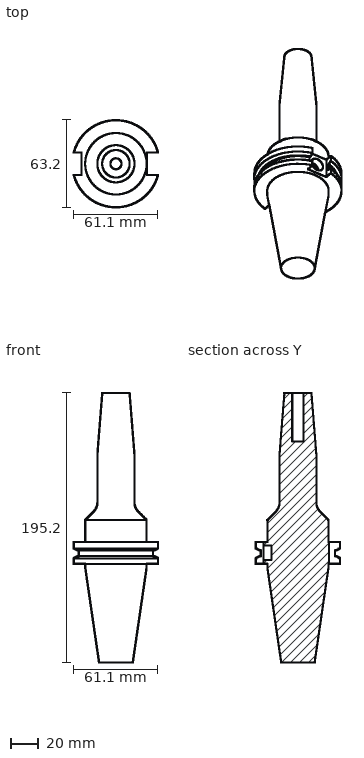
import cadquery as cq
import math

gauge_z = 68.5
flange_bottom = 71.5
flange_height = 16.0
flange_top = flange_bottom + flange_height
shoulder_z = 103.3
nose_start = 151.1
total_height = 195.2

body_radius = 22.3
neck_radius = 13.5
nose_radius = 10.0
flange_radius = 31.6

shank_taper = 7 / 24
shank_end_radius = body_radius - gauge_z * shank_taper / 2

blend_radius = 9.8
blend_angle = math.radians(45)
blend_base_radius = neck_radius + blend_radius * (1 - math.cos(blend_angle))
blend_base_z = shoulder_z + body_radius - blend_base_radius
blend_top_z = blend_base_z + blend_radius * math.sin(blend_angle)

groove_bottom = 75.5
groove_top = 82.8
groove_floor_radius = 28.1
groove_ledge_radius = 29.0
groove_side_height = (flange_radius - groove_ledge_radius) * math.tan(math.radians(30))

slot_width = 16.0
slot_floor_left = 25.0
slot_floor_right = 22.6

bore_diameter = 8.0
bore_depth = 35.1
side_hole_diameter = 10.0
side_hole_depth = 5.9


def make_revolved_body():
    blend_mid = (
        neck_radius + blend_radius * (1 - math.cos(blend_angle / 2)),
        blend_top_z - blend_radius * math.sin(blend_angle / 2),
    )
    profile = (
        cq.Workplane("XZ")
        .lineTo(shank_end_radius, 0)
        .lineTo(body_radius, gauge_z)
        .lineTo(body_radius, flange_bottom)
        .lineTo(flange_radius, flange_bottom)
        .lineTo(flange_radius, groove_bottom)
        .lineTo(groove_ledge_radius, groove_bottom + groove_side_height)
        .lineTo(groove_floor_radius, groove_bottom + groove_side_height)
        .lineTo(groove_floor_radius, groove_top - groove_side_height)
        .lineTo(groove_ledge_radius, groove_top - groove_side_height)
        .lineTo(flange_radius, groove_top)
        .lineTo(flange_radius, flange_top)
        .lineTo(body_radius, flange_top)
        .lineTo(body_radius, shoulder_z)
        .lineTo(blend_base_radius, blend_base_z)
        .threePointArc(blend_mid, (neck_radius, blend_top_z))
        .lineTo(neck_radius, nose_start)
        .lineTo(nose_radius, total_height)
        .lineTo(0, total_height)
        .close()
    )
    return profile.revolve(360, (0, 0, 0), (0, 1, 0))


def make_drive_slot(side, floor):
    """Slot through the flange; side is -1 for -X and +1 for +X."""
    return (
        cq.Workplane("XY")
        .box(flange_radius, slot_width, flange_height, centered=(True, True, False))
        .translate((side * (floor + flange_radius / 2), 0, flange_bottom))
    )


def make_bore():
    return (
        cq.Workplane("XY", origin=(0, 0, total_height - bore_depth))
        .circle(bore_diameter / 2)
        .extrude(bore_depth)
    )


def make_side_hole():
    """Blind hole in the floor of the -X drive slot."""
    return (
        cq.Workplane("YZ", origin=(-slot_floor_left, 0, flange_bottom + flange_height / 2))
        .circle(side_hole_diameter / 2)
        .extrude(side_hole_depth)
    )


result = (
    make_revolved_body()
    .cut(make_drive_slot(-1, slot_floor_left))
    .cut(make_drive_slot(1, slot_floor_right))
    .cut(make_bore())
    .cut(make_side_hole())
)